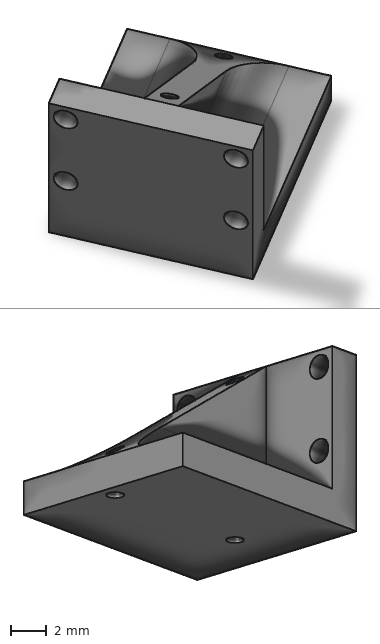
import cadquery as cq

width = 12.0
depth = 14.5
height = 10.5

wall = 2.0
fillet_radius = 2.5

plate_hole_diameter = 1.4
rib_hole_diameter = 1.0
edge_distance = 1.0
plate_hole_pitch = 5.0
rib_hole_pitch = 10.0


def make_bracket():
    """L-shaped bracket: a flat base with an upright plate along its front edge."""
    base = cq.Workplane("XY").box(width, depth, wall, centered=(True, False, False))
    plate = cq.Workplane("XY").box(width, wall, height, centered=(True, False, False))
    return base.union(plate)


def make_rib():
    """Central rib flared into the base by concave arcs and trimmed to a slope."""
    half_rib = wall / 2
    half_foot = half_rib + fillet_radius
    shoulder = wall + fillet_radius
    flared_bar = (
        cq.Workplane("XZ")
        .moveTo(-half_foot, wall)
        .radiusArc((-half_rib, shoulder), -fillet_radius)
        .lineTo(-half_rib, height)
        .lineTo(half_rib, height)
        .lineTo(half_rib, shoulder)
        .radiusArc((half_foot, wall), -fillet_radius)
        .close()
        .extrude(-depth)
    )
    slope_wedge = (
        cq.Workplane("YZ")
        .polyline([(wall, wall), (depth, wall), (wall, height)])
        .close()
        .extrude(half_foot, both=True)
    )
    return flared_bar.intersect(slope_wedge)


def make_plate_holes():
    """Four holes through the upright plate, in two rows near its sides."""
    hole_x = width / 2 - edge_distance
    upper_z = height - edge_distance
    lower_z = upper_z - plate_hole_pitch
    centres = [(x, z) for x in (-hole_x, hole_x) for z in (lower_z, upper_z)]
    return cq.Workplane("XZ").pushPoints(centres).circle(plate_hole_diameter / 2).extrude(-wall)


def make_rib_holes():
    """Two vertical holes on the centreline, through the rib and the base."""
    back_y = depth - edge_distance
    centres = [(0, back_y - rib_hole_pitch), (0, back_y)]
    return cq.Workplane("XY").pushPoints(centres).circle(rib_hole_diameter / 2).extrude(height)


result = make_bracket().union(make_rib()).cut(make_plate_holes()).cut(make_rib_holes())